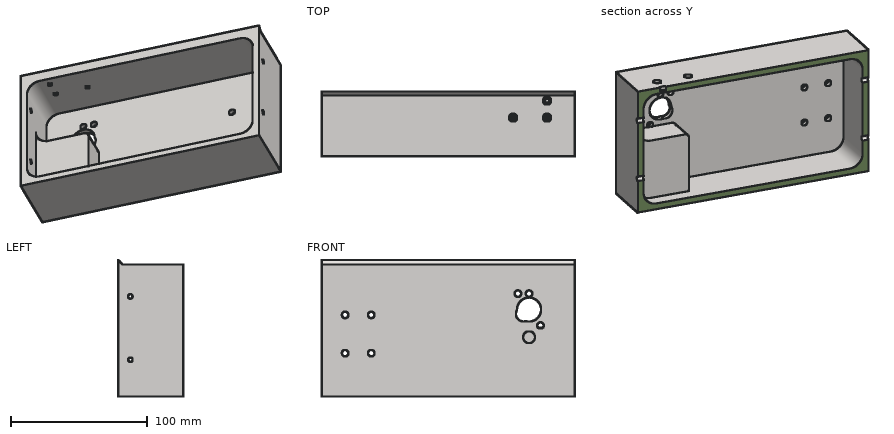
import cadquery as cq

length = 185.0
depth = 47.5
height = 100.0
wall = 5.0
corner_radius = 2 * wall

lip_size = 3.1
body_height = height - lip_size

block_left = 139.2
block_top = 50.7
block_back = 28.3
block_left_fillet = 3.3

fixing_diameter = 4.6
fixing_columns = (17.2, 36.3)
fixing_rows = (31.8, 59.8)
bore_x = 151.5
bore_z = 63.7
bore_diameter = 17.4
mount_diameter = 4.6
mount_places = ((143.4, 75.3), (bore_x, 75.3), (159.9, 52.0))
relief_x = 147.5
relief_z = 60.5
relief_diameter = 11.0
pin_z = 43.5
pin_diameter = 8.7
pin_depth = 10.0

screw_diameter = 3.1
screw_head_diameter = 6.0
screw_head_depth = 3.0
screw_right = 164.7
screw_places = ((139.9, block_back), (screw_right, block_back), (screw_right, 40.7))

end_hole_diameter = 3.1
end_hole_y = 38.7
end_hole_rows = (27.0, 73.3)


def box_between(low, high):
    """Axis-aligned box between two opposite corners."""
    sizes = [end - start for start, end in zip(low, high)]
    return cq.Workplane("XY").box(*sizes, centered=False).translate(low)


def front_hole(x, z, diameter, hole_depth):
    """Cylinder running from the front face toward +Y."""
    return cq.Workplane("XZ").center(x, z).circle(diameter / 2).extrude(-hole_depth)


def make_body():
    """Outer block whose end profile carries the sloped lip at the rear top edge."""
    profile = [
        (0, 0),
        (depth, 0),
        (depth, height),
        (depth - lip_size, body_height),
        (0, body_height),
    ]
    return cq.Workplane("YZ").polyline(profile).close().extrude(length)


def make_cavity():
    """Interior space, rounded along Y, with the lower right block left standing."""
    space = box_between((wall, wall, wall), (length - wall, depth, body_height - wall))
    space = space.edges("|Y").fillet(corner_radius)
    block = box_between((block_left, 0, 0), (length, block_back, block_top))
    block = block.edges("|Y and <X and >Z").fillet(block_left_fillet)
    corner = box_between(
        (length - wall - corner_radius, 0, block_top),
        (length, block_back, block_top + corner_radius),
    )
    round_corner = front_hole(
        length - wall - corner_radius, block_top + corner_radius, 2 * corner_radius, depth
    )
    return space.cut(block).cut(corner.cut(round_corner))


result = make_body().cut(make_cavity())

for x in fixing_columns:
    for z in fixing_rows:
        result = result.cut(front_hole(x, z, fixing_diameter, wall))

result = result.cut(front_hole(bore_x, bore_z, bore_diameter, wall))
result = result.cut(front_hole(relief_x, relief_z, relief_diameter, wall))
for x, z in mount_places:
    result = result.cut(front_hole(x, z, mount_diameter, wall))
result = result.cut(front_hole(bore_x, pin_z, pin_diameter, pin_depth))

for x, y in screw_places:
    top = cq.Workplane("XY", origin=(x, y, body_height))
    result = result.cut(top.circle(screw_diameter / 2).extrude(-wall))
    result = result.cut(top.circle(screw_head_diameter / 2).extrude(-screw_head_depth))

for z in end_hole_rows:
    drill = cq.Workplane("YZ").center(end_hole_y, z).circle(end_hole_diameter / 2)
    result = result.cut(drill.extrude(length))